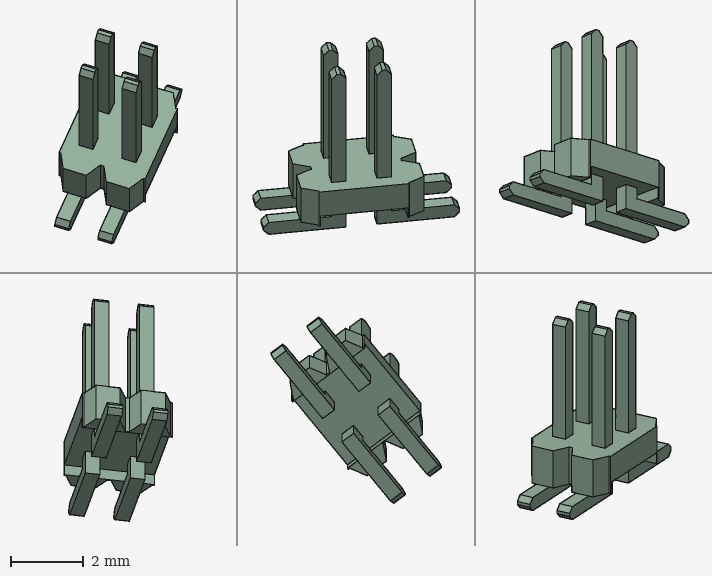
import cadquery as cq

pitch = 1.27
columns = 2
pin_width = 0.41
pin_height = 5.0
foot_span = 5.5
foot_thickness = 0.39
tip_chamfer = 0.15

body_width = columns * pitch
body_length = 3.45
body_bottom = foot_thickness
body_top = 1.5
lobe_depth = 0.46
lobe_base_width = 1.16
lobe_end_width = 0.68

channel_length = 2.45
channel_top = 0.71

column_positions = [(i - (columns - 1) / 2) * pitch for i in range(columns)]


def lobe_outline(x, side):
    """Points along one tapered end lobe, listed in order of rising X."""
    y_base = side * (body_length / 2 - lobe_depth)
    y_end = side * body_length / 2
    return [
        (x - lobe_base_width / 2, y_base),
        (x - lobe_end_width / 2, y_end),
        (x + lobe_end_width / 2, y_end),
        (x + lobe_base_width / 2, y_base),
    ]


def make_body():
    """Block with tapered lobes at both Y ends and a channel through X below."""
    half_width = body_width / 2
    y_core = body_length / 2 - lobe_depth

    front_edge = [(-half_width, -y_core)]
    back_edge = [(-half_width, y_core)]
    for x in column_positions:
        front_edge += lobe_outline(x, -1)
        back_edge += lobe_outline(x, 1)
    front_edge.append((half_width, -y_core))
    back_edge.append((half_width, y_core))

    block = (
        cq.Workplane("XY")
        .workplane(offset=body_bottom)
        .polyline(front_edge + back_edge[::-1])
        .close()
        .extrude(body_top - body_bottom)
    )
    channel = cq.Workplane("XY").box(
        body_width, channel_length, channel_top - body_bottom, centered=(True, True, False)
    )
    return block.cut(channel.translate((0, 0, body_bottom)))


def make_pin(x, side):
    """L-shaped pin whose foot points outward along Y, with both tips chamfered."""
    y_inner = pitch / 2 - pin_width / 2
    y_outer = y_inner + pin_width
    y_toe = foot_span / 2
    profile = [
        (y_inner, 0),
        (y_toe - tip_chamfer, 0),
        (y_toe, tip_chamfer),
        (y_toe, foot_thickness - tip_chamfer),
        (y_toe - tip_chamfer, foot_thickness),
        (y_outer, foot_thickness),
        (y_outer, pin_height - tip_chamfer),
        (y_outer - tip_chamfer, pin_height),
        (y_inner + tip_chamfer, pin_height),
        (y_inner, pin_height - tip_chamfer),
    ]
    return (
        cq.Workplane("YZ")
        .workplane(offset=x - pin_width / 2)
        .polyline([(side * y, z) for y, z in profile])
        .close()
        .extrude(pin_width)
    )


result = make_body()
for column_x in column_positions:
    for row_side in (-1, 1):
        result = result.union(make_pin(column_x, row_side))